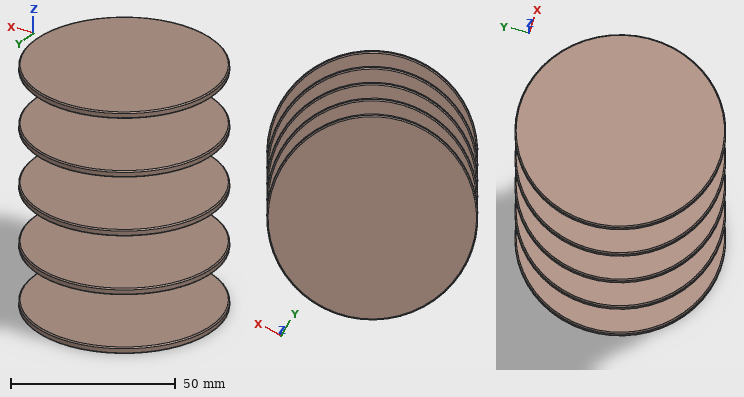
import cadquery as cq

stack_height = 82.25
disc_diameter = 64.0
disc_thickness = 2.2
disc_count = 5
edge_chamfer = 0.4

disc_pitch = (stack_height - disc_thickness) / (disc_count - 1)


def make_disc(base_height):
    """One flat disc with both rims chamfered, resting at the given height."""
    disc = cq.Workplane("XY", origin=(0, 0, base_height)).circle(disc_diameter / 2).extrude(disc_thickness)
    return disc.faces("|Z").edges().chamfer(edge_chamfer)


discs = [make_disc(index * disc_pitch) for index in range(disc_count)]

result = cq.Compound.makeCompound([disc.val() for disc in discs])